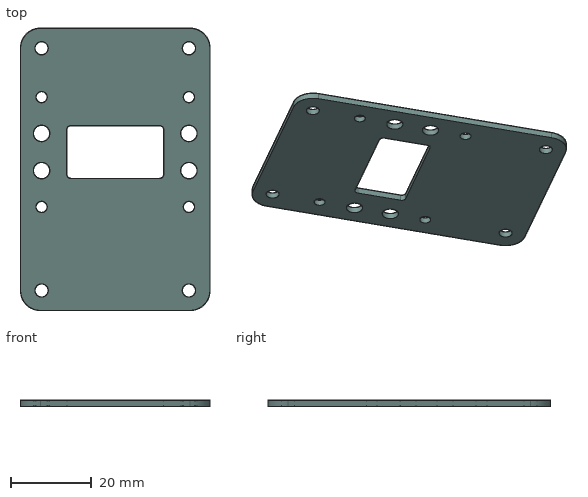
import cadquery as cq

WIDTH = 47.0
LENGTH = 70.0
THICKNESS = 1.6
CORNER_RADIUS = 5.0

HOLE_COLUMN_X = 18.25

MOUNTING_DIAMETER = 3.2
MOUNTING_Y = LENGTH / 2 - CORNER_RADIUS

WINDOW_CENTRE_Y = 4.3
WINDOW_WIDTH = 24.0
WINDOW_HEIGHT = 13.0
WINDOW_CORNER_RADIUS = 1.0

SMALL_DIAMETER = 2.7
SMALL_SPACING = 27.2
LARGE_DIAMETER = 4.0
LARGE_SPACING = 9.2


def rounded_block(width, length, radius):
    """Block of plate thickness with rounded vertical edges."""
    block = cq.Workplane("XY").box(width, length, THICKNESS, centered=(True, True, False))
    return block.edges("|Z").fillet(radius)


def hole_cutters(diameter, centre_y, half_spacing):
    """Four through-hole cutters, two in each column, placed about centre_y."""
    return (
        cq.Workplane("XY")
        .center(0, centre_y)
        .rect(2 * HOLE_COLUMN_X, 2 * half_spacing, forConstruction=True)
        .vertices()
        .circle(diameter / 2)
        .extrude(THICKNESS)
    )


plate = rounded_block(WIDTH, LENGTH, CORNER_RADIUS)
window = rounded_block(WINDOW_WIDTH, WINDOW_HEIGHT, WINDOW_CORNER_RADIUS).translate((0, WINDOW_CENTRE_Y, 0))

result = (
    plate.cut(window)
    .cut(hole_cutters(MOUNTING_DIAMETER, 0, MOUNTING_Y))
    .cut(hole_cutters(SMALL_DIAMETER, WINDOW_CENTRE_Y, SMALL_SPACING / 2))
    .cut(hole_cutters(LARGE_DIAMETER, WINDOW_CENTRE_Y, LARGE_SPACING / 2))
)